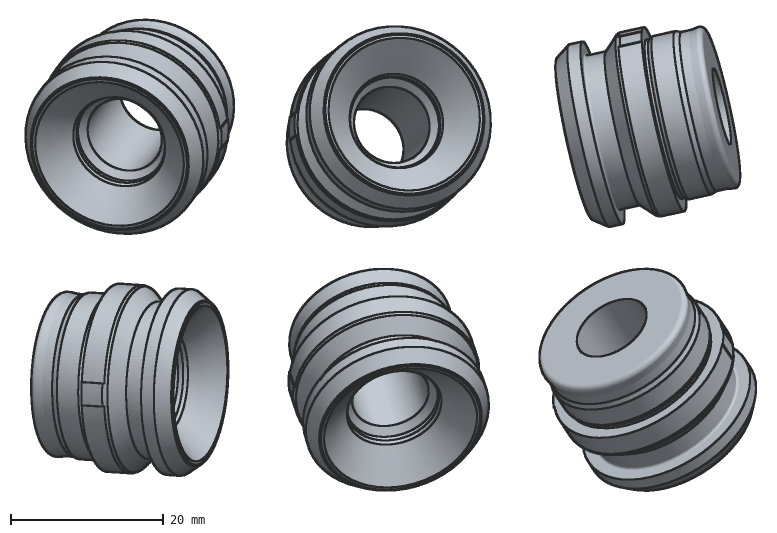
import cadquery as cq

length = 19.9

front_edge_radius = 10.92
front_face_radius = 10.7
front_edge_depth = 0.1
front_flange_radius = 12.3
front_chamfer_end = 2.02
front_flange_end = 3.8

groove_radius = 10.37
groove_fillet = 0.32
groove_end = 6.6

collar_diameter = 24.8
collar_radius = collar_diameter / 2
collar_cone_radius = 12.25
collar_cone_end = 8.52
collar_start = 8.95
collar_end = 12.1

neck_radius = 10.72
band_radius = 11.0
band_ramp_start = 12.55
band_start = 13.06
band_end = 16.04
relief_start = 16.8
relief_end = 18.14
lip_radius = 10.9
lip_fillet = 0.72

pad_radius = 12.5
pad_width = 3.1
trim_clearance = 0.25

mouth_radius = 10.27
mouth_depth = 4.07
throat_radius = 6.35
seat_radius = 6.12
seat_start = 4.65
seat_end = 5.37
bore_radius = 5.12
bore_start = 6.4


def turn(outline):
    """Revolve a closed (radius, y) outline around the Y axis."""
    return outline.close().revolve(360, (0, 0, 0), (0, 1, 0))


def make_outer_body():
    """Outside of the sleeve, with the collar left at pad radius all round."""
    cone_slope = (collar_start - collar_cone_end) / (collar_radius - collar_cone_radius)
    pad_start = collar_start + cone_slope * (pad_radius - collar_radius)
    outline = (
        cq.Workplane("ZY")
        .moveTo(0, 0)
        .lineTo(front_face_radius, 0)
        .lineTo(front_edge_radius, front_edge_depth)
        .lineTo(front_flange_radius, front_chamfer_end)
        .lineTo(front_flange_radius, front_flange_end)
        .lineTo(groove_radius + groove_fillet, front_flange_end)
        .radiusArc((groove_radius, front_flange_end + groove_fillet), groove_fillet)
        .lineTo(groove_radius, groove_end)
        .lineTo(collar_cone_radius, collar_cone_end)
        .lineTo(pad_radius, pad_start)
        .lineTo(pad_radius, collar_end)
        .lineTo(neck_radius, collar_end)
        .lineTo(neck_radius, band_ramp_start)
        .lineTo(band_radius, band_start)
        .lineTo(band_radius, band_end)
        .lineTo(neck_radius, relief_start)
        .lineTo(neck_radius, relief_end)
        .lineTo(lip_radius, length - lip_fillet)
        .radiusArc((lip_radius - lip_fillet, length), -lip_fillet)
        .lineTo(0, length)
    )
    return turn(outline)


def make_collar_trim():
    """Thin ring that turns the collar down to its own radius everywhere but at the pads."""
    ring = turn(
        cq.Workplane("ZY")
        .moveTo(collar_radius, collar_start - trim_clearance)
        .lineTo(pad_radius + trim_clearance, collar_start - trim_clearance)
        .lineTo(pad_radius + trim_clearance, collar_end + trim_clearance)
        .lineTo(collar_radius, collar_end + trim_clearance)
    )
    pad_band = cq.Workplane("XY").box(3 * pad_radius, 3 * length, pad_width)
    return ring.cut(pad_band)


def make_bore():
    """Conical mouth, short straight seat, then a conical step into the through bore."""
    outline = (
        cq.Workplane("ZY")
        .moveTo(0, 0)
        .lineTo(mouth_radius, 0)
        .lineTo(throat_radius, mouth_depth)
        .lineTo(seat_radius, seat_start)
        .lineTo(seat_radius, seat_end)
        .lineTo(bore_radius, bore_start)
        .lineTo(bore_radius, length)
        .lineTo(0, length)
    )
    return turn(outline)


result = make_outer_body().cut(make_collar_trim()).cut(make_bore())